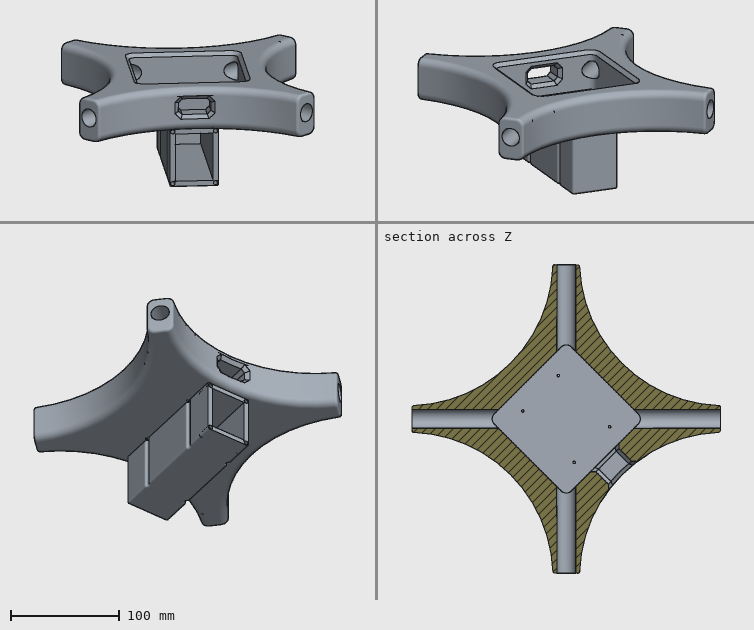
import cadquery as cq
import math

span = 283.6
star_height = 40.0
tip_width = 25.0
arc_radius = 132.5
side_fillet = 7.0
tip_fillet = 2.5

box_length = 131.0
box_width = 45.0
box_height = 55.0
box_wall = 5.0
box_fillet = 2.0
cover_screw_diameter = 4.0
cover_screw_inset = 2.75
cover_screw_depth = 15.0

tray_size = 100.0
tray_depth = 37.0
tray_corner_radius = 6.5
tray_rim_chamfer = 3.5

arm_bore_diameter = 17.0
bore_height = box_height + 22.0

port_width = 30.0
port_height = 15.0
port_corner_cut = 3.5
port_rim_chamfer = 3.45

mount_diameter = 2.0
mount_length_spacing = 66.6
mount_width_spacing = 46.0
driver_groove_diameter = 5.0

tip_reach = span / 2
total_height = box_height + star_height
tray_floor = total_height - tray_depth
diagonal = -45.0


def star():
    """Four arms joined by concave arcs, with all outer edges rounded."""
    half_tip = tip_width / 2
    chord_middle = (tip_reach + half_tip) / 2
    half_chord = (tip_reach - half_tip) / math.sqrt(2)
    centre_to_chord = math.sqrt(arc_radius**2 - half_chord**2)
    waist = chord_middle + (centre_to_chord - arc_radius) / math.sqrt(2)

    outline = (
        cq.Workplane("XY", origin=(0, 0, box_height))
        .moveTo(tip_reach, half_tip)
        .threePointArc((waist, waist), (half_tip, tip_reach))
        .lineTo(-half_tip, tip_reach)
        .threePointArc((-waist, waist), (-tip_reach, half_tip))
        .lineTo(-tip_reach, -half_tip)
        .threePointArc((-waist, -waist), (-half_tip, -tip_reach))
        .lineTo(half_tip, -tip_reach)
        .threePointArc((waist, -waist), (tip_reach, -half_tip))
        .close()
    )
    body = outline.extrude(star_height)
    body = body.edges("%CIRCLE").fillet(side_fillet)
    return body.faces("<X or >X or <Y or >Y").edges().fillet(tip_fillet)


def cut_port(body):
    """Octagonal opening from the tray through the +X -Y side, chamfered at both ends."""
    cutter = (
        cq.Workplane("YZ")
        .center(0, bore_height)
        .rect(port_width, port_height)
        .extrude(tip_reach)
        .edges("|X")
        .chamfer(port_corner_cut)
        .rotate((0, 0, 0), (0, 0, 1), diagonal)
    )
    reach = port_height * 0.6
    port_zone = cq.selectors.BoxSelector(
        (tray_size / 5, -tip_reach / 2, bore_height - reach),
        (tip_reach / 2, -tray_size / 5, bore_height + reach),
    )
    along_port = cq.selectors.ParallelDirSelector(cq.Vector(1, -1, 0))
    return body.cut(cutter).edges(port_zone - along_port).chamfer(port_rim_chamfer)


def cut_arm_bores(body):
    """Bores along both arm axes, tip to tip."""
    for plane in ("YZ", "XZ"):
        bore = (
            cq.Workplane(plane)
            .center(0, bore_height)
            .circle(arm_bore_diameter / 2)
            .extrude(tip_reach, both=True)
        )
        body = body.cut(bore)
    return body


def cut_tray(body):
    """Square tray, corners towards the arms, with a chamfered rim."""
    tray = (
        cq.Workplane("XY", origin=(0, 0, tray_floor))
        .rect(tray_size, tray_size)
        .extrude(tray_depth)
        .edges("|Z")
        .fillet(tray_corner_radius)
    )
    rim_size = tray_size + 2 * tray_rim_chamfer
    rim = (
        cq.Workplane("XY", origin=(0, 0, total_height))
        .sketch()
        .rect(rim_size, rim_size)
        .vertices()
        .fillet(tray_corner_radius + tray_rim_chamfer)
        .finalize()
        .extrude(-tray_rim_chamfer, taper=45)
    )
    return body.cut(tray.union(rim).rotate((0, 0, 0), (0, 0, 1), diagonal))


def battery_box():
    """Hollow box below the star, open at its +X -Y end."""
    box = cq.Workplane("XY").box(box_length, box_width, box_height, centered=(True, True, False))
    box = box.cut(mount_cylinders(driver_groove_diameter, box_height))
    box = box.edges("|Z and (not >X)").fillet(box_fillet)
    box = box.faces("<Z").edges("not >X").fillet(box_fillet)
    cavity = (
        cq.Workplane("YZ", origin=(box_length / 2, 0, box_height / 2))
        .rect(box_width - 2 * box_wall, box_height - 2 * box_wall)
        .extrude(box_wall - box_length)
    )
    screws = (
        cq.Workplane("YZ", origin=(box_length / 2, 0, box_height / 2))
        .rect(box_width - 2 * cover_screw_inset, box_height - 2 * cover_screw_inset, forConstruction=True)
        .vertices()
        .circle(cover_screw_diameter / 2)
        .extrude(-cover_screw_depth)
    )
    return box.cut(cavity).cut(screws)


def mount_cylinders(diameter, height):
    """Upright cylinders at the four mounting positions, in the box's own axes."""
    return (
        cq.Workplane("XY")
        .rect(mount_length_spacing, mount_width_spacing, forConstruction=True)
        .vertices()
        .circle(diameter / 2)
        .extrude(height)
    )


def turned(body):
    """Turn a body from the box's own axes to the part's diagonal."""
    return body.rotate((0, 0, 0), (0, 0, 1), diagonal)


frame = cut_port(cut_tray(cut_arm_bores(star())))
result = frame.union(turned(battery_box()))
result = result.cut(turned(mount_cylinders(mount_diameter, total_height)))